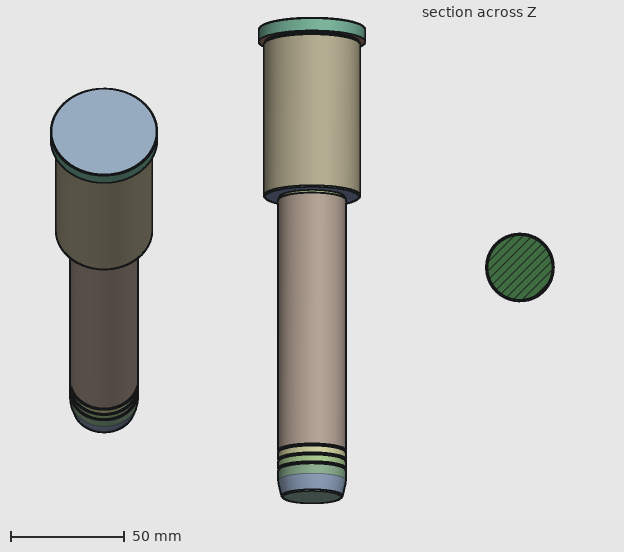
import cadquery as cq

total_length = 211.0
head_radius = 47.0 / 2
body_radius = 21.3
shaft_radius = 15.0
tip_radius = 13.5

head_height = 6.0
body_end_depth = 75.7
shaft_start_depth = 77.0
tip_height = 7.5

head_chamfer = 0.5
body_chamfer = 0.6
relief_height = 1.3
relief_depth = 0.6
tip_chamfer = 0.6
tip_bulge = 0.2

groove_count = 3
lowest_groove_height = 12.5
groove_spacing = 4.0
groove_width = 1.0
groove_depth = 0.5

head_bottom = total_length - head_height
body_top = head_bottom - relief_height
body_bottom = total_length - body_end_depth
shaft_top = total_length - shaft_start_depth
body_relief_radius = body_radius - relief_depth
shaft_relief_radius = shaft_radius - relief_depth


def make_pin():
    """Revolve the stepped half profile, with its rounded tip, about Z."""
    tip_middle = ((shaft_radius + tip_radius) / 2 + tip_bulge, (tip_height + tip_chamfer) / 2)
    profile = (
        cq.Workplane("XZ")
        .moveTo(0, 0)
        .lineTo(tip_radius - tip_chamfer, 0)
        .lineTo(tip_radius, tip_chamfer)
        .threePointArc(tip_middle, (shaft_radius, tip_height))
        .lineTo(shaft_radius, shaft_top)
        .lineTo(shaft_relief_radius, shaft_top)
        .lineTo(shaft_relief_radius, body_bottom)
        .lineTo(body_radius - body_chamfer, body_bottom)
        .lineTo(body_radius, body_bottom + body_chamfer)
        .lineTo(body_radius, body_top)
        .lineTo(body_relief_radius, body_top + relief_depth)
        .lineTo(body_relief_radius, head_bottom)
        .lineTo(head_radius, head_bottom)
        .lineTo(head_radius, total_length - head_chamfer)
        .lineTo(head_radius - head_chamfer, total_length)
        .lineTo(0, total_length)
        .close()
    )
    return profile.revolve(360, (0, 0, 0), (0, 1, 0))


def make_groove_ring(center_height):
    """Ring with a triangular section, removed to leave one V groove."""
    half_width = groove_width / 2
    section = (
        cq.Workplane("XZ")
        .moveTo(shaft_radius, center_height - half_width)
        .lineTo(shaft_radius - groove_depth, center_height)
        .lineTo(shaft_radius, center_height + half_width)
        .close()
    )
    return section.revolve(360, (0, 0, 0), (0, 1, 0))


result = make_pin()
for index in range(groove_count):
    result = result.cut(make_groove_ring(lowest_groove_height + index * groove_spacing))